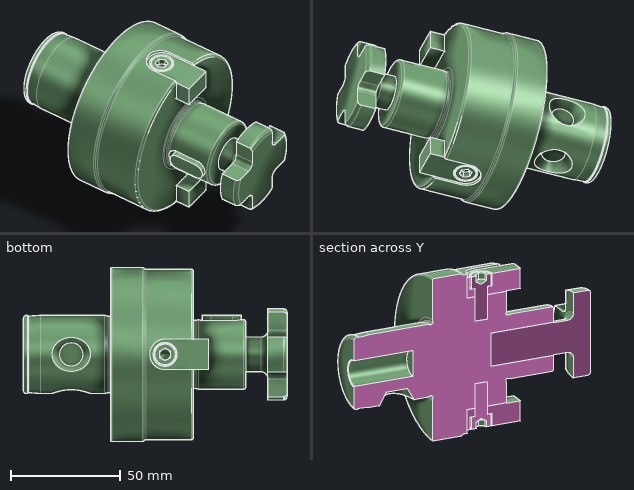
import cadquery as cq
import math


shank_radius = 18.0
shank_length = 40.0
nose_rounding = 1.5
nose_length = 2.0
nose_groove_radius = 17.6
nose_groove_start = 2.4
nose_groove_end = 2.7
nose_cone_end = 7.8
bore_radius = 6.2
bore_depth = 30.0
bore_chamfer = 0.3

recess_rotations = (0, -90)
recess_x = -18.0
recess_mouth_radius = 8.8
recess_half_angle = 30.0
recess_depth = 6.0
recess_margin = 2.0

flange_radius = 40.0
flange_land_end = 14.6
flange_rear_fillet = 0.6
blend_radius = 1.0
drum_radius = 39.15
drum_front = 38.0
drum_fillet = 1.0

pilot_radius = 16.0
pilot_length = 24.0
pilot_front = drum_front + pilot_length
pilot_fillet = 1.0

undercut_slope_angle = 15.0
shank_undercut_depth = 0.4
shank_undercut_width = 2.65
shank_undercut_fillet = 0.8
pilot_undercut_depth = 0.3
pilot_undercut_width = 2.3
pilot_undercut_fillet = 0.6
face_relief_depth = 0.25
face_relief_reach = 1.8

drive_rotations = (0, 180)
drive_key_width = 14.0
drive_key_round_x = 25.0
drive_key_front = 45.0
drive_key_base = 27.5
drive_key_height = 10.0
drive_key_top = drive_key_base + drive_key_height
head_radius = 5.0
head_height = 6.0
head_chamfer = 0.3
counterbore_radius = 5.5
screw_radius = 3.0
screw_length = 16.0
head_seat = drive_key_top - head_height
screw_tip = head_seat - screw_length
socket_width = 5.0
socket_depth = 3.0
socket_point_angle = 60.0

feather_width = 8.0
feather_rear = 42.0
feather_front = 60.0
feather_slot_rear = 40.0
feather_base = 11.0
feather_top = 18.0

bolt_radius = 8.0
bolt_thread_start = 30.0
bolt_head_radius = 21.0
bolt_head_rear = 72.0
bolt_head_thickness = 9.0
bolt_head_fillet = 1.8
bolt_neck_fillet = 3.0
lug_width = 16.0
lug_corner_fillet = 3.2


def revolve_about_x(profile):
    return profile.close().revolve(360, (0, 0, 0), (1, 0, 0))


def cylinder_along_x(radius, start, end):
    return cq.Workplane("YZ").workplane(offset=start).circle(radius).extrude(end - start)


def undercut(shoulder_x, direction, radius, width, depth, fillet):
    """Ring removed from the corner of a round stem and its shoulder face.

    direction points along X from the shoulder to the free end of the stem.
    """
    floor_radius = radius - depth
    slope_length = depth / math.tan(math.radians(undercut_slope_angle))
    wall_x = shoulder_x - direction * face_relief_depth
    arc_start_x = wall_x + direction * fillet
    arc_shift = fillet * (1 - math.sqrt(0.5))
    profile = (
        cq.Workplane("XY")
        .moveTo(shoulder_x + direction * width, radius)
        .lineTo(shoulder_x + direction * (width - slope_length), floor_radius)
        .lineTo(arc_start_x, floor_radius)
        .threePointArc(
            (wall_x + direction * arc_shift, floor_radius + arc_shift),
            (wall_x, floor_radius + fillet),
        )
        .lineTo(shoulder_x, radius + face_relief_reach)
        .lineTo(shoulder_x, radius)
    )
    return revolve_about_x(profile)


def shank_recess(rotation):
    """Cone that opens at the shank surface, first made at +Y, then turned about X."""
    slope = math.tan(math.radians(recess_half_angle))
    outer = shank_radius + recess_margin
    outer_radius = recess_mouth_radius + recess_margin * slope
    height = recess_margin + recess_depth
    cone = cq.Solid.makeCone(
        outer_radius,
        outer_radius - height * slope,
        height,
        cq.Vector(recess_x, outer, 0),
        cq.Vector(0, -1, 0),
    )
    return cq.Workplane(cone).rotate((0, 0, 0), (1, 0, 0), rotation)


def drive_key_block():
    """Key outline with one round end, standing on the key floor at +Z."""
    half_width = drive_key_width / 2
    return (
        cq.Workplane("XY")
        .workplane(offset=drive_key_base)
        .moveTo(drive_key_front, -half_width)
        .lineTo(drive_key_front, half_width)
        .lineTo(drive_key_round_x, half_width)
        .threePointArc((drive_key_round_x - half_width, 0), (drive_key_round_x, -half_width))
        .close()
        .extrude(drive_key_height)
    )


def drive_key_slot():
    """Key seat, carried on upward through the surface of the drum."""
    block = drive_key_block()
    return block.union(block.translate((0, 0, drive_key_height)))


def screw_cylinder(radius, bottom, top):
    return (
        cq.Workplane("XY")
        .workplane(offset=bottom)
        .center(drive_key_round_x, 0)
        .circle(radius)
        .extrude(top - bottom)
    )


def make_drive_key():
    shank_hole = screw_cylinder(screw_radius, drive_key_base, drive_key_top)
    counterbore = screw_cylinder(counterbore_radius, head_seat, drive_key_top)
    return drive_key_block().cut(shank_hole).cut(counterbore)


def make_drive_screw():
    head = screw_cylinder(head_radius, head_seat, drive_key_top).faces(">Z").edges().chamfer(head_chamfer)
    thread = screw_cylinder(screw_radius, screw_tip, head_seat)
    corner_distance = socket_width / math.sqrt(3)
    corner_angles = [math.radians(60 * i) for i in range(6)]
    corners = [(corner_distance * math.sin(a), corner_distance * math.cos(a)) for a in corner_angles]
    socket = (
        cq.Workplane("XY")
        .workplane(offset=drive_key_top - socket_depth)
        .center(drive_key_round_x, 0)
        .polyline(corners)
        .close()
        .extrude(socket_depth)
    )
    point_radius = socket_width / 2
    drill_point = cq.Solid.makeCone(
        point_radius,
        0,
        point_radius / math.tan(math.radians(socket_point_angle)),
        cq.Vector(drive_key_round_x, 0, drive_key_top - socket_depth),
        cq.Vector(0, 0, -1),
    )
    return head.union(thread).cut(socket).cut(cq.Workplane(drill_point))


def feather_block(rear):
    """Round-ended block on the -Y side, from the slot floor to the key top."""
    return (
        cq.Workplane("XZ")
        .workplane(offset=feather_base)
        .center((rear + feather_front) / 2, 0)
        .slot2D(feather_front - rear, feather_width)
        .extrude(feather_top - feather_base)
    )


def make_bolt():
    head_front = bolt_head_rear + bolt_head_thickness
    disc = cylinder_along_x(bolt_head_radius, bolt_head_rear, head_front)
    disc = disc.faces(">X").edges().fillet(bolt_head_fillet)
    bar_length = 2 * bolt_head_radius
    cross = (
        cq.Workplane("YZ")
        .workplane(offset=bolt_head_rear)
        .rect(bar_length, lug_width)
        .extrude(bolt_head_thickness)
        .union(
            cq.Workplane("YZ")
            .workplane(offset=bolt_head_rear)
            .rect(lug_width, bar_length)
            .extrude(bolt_head_thickness)
        )
    )
    inner_corner = lug_width / 2 + lug_corner_fillet
    inner_box = cq.selectors.BoxSelector(
        (bolt_head_rear, -inner_corner, -inner_corner), (head_front, inner_corner, inner_corner)
    )
    cross = cross.edges("|X").edges(inner_box).fillet(lug_corner_fillet)
    head = disc.intersect(cross)
    neck_start = bolt_head_rear - bolt_neck_fillet
    neck_arc_shift = bolt_neck_fillet * (1 - math.sqrt(0.5))
    stem = revolve_about_x(
        cq.Workplane("XY")
        .moveTo(bolt_thread_start, 0)
        .lineTo(bolt_thread_start, bolt_radius)
        .lineTo(neck_start, bolt_radius)
        .threePointArc(
            (bolt_head_rear - neck_arc_shift, bolt_radius + neck_arc_shift),
            (bolt_head_rear, bolt_radius + bolt_neck_fillet),
        )
        .lineTo(bolt_head_rear, 0)
    )
    return head.union(stem)


def make_nose_and_shank():
    rear = -shank_length
    arc_centre_radius = shank_radius - nose_rounding
    past_crest = nose_length - nose_rounding
    nose_end_radius = arc_centre_radius + math.sqrt(nose_rounding**2 - past_crest**2)
    return revolve_about_x(
        cq.Workplane("XY")
        .moveTo(rear, 0)
        .lineTo(rear, arc_centre_radius)
        .threePointArc((rear + nose_rounding, shank_radius), (rear + nose_length, nose_end_radius))
        .lineTo(rear + nose_groove_start, nose_groove_radius)
        .lineTo(rear + nose_groove_end, nose_groove_radius)
        .lineTo(rear + nose_cone_end, shank_radius)
        .lineTo(0, shank_radius)
        .lineTo(0, 0)
    )


def make_flange_and_drum():
    """Flange and drum, joined by a convex and a concave arc that meet tangentially halfway."""
    step = flange_radius - drum_radius
    arc_angle = math.acos(1 - step / (2 * blend_radius))
    arc_length = blend_radius * math.sin(arc_angle)
    middle_shift = blend_radius * math.sin(arc_angle / 2)
    middle_drop = blend_radius * (1 - math.cos(arc_angle / 2))
    blend_middle = flange_land_end + arc_length
    blend_end = blend_middle + arc_length
    body = revolve_about_x(
        cq.Workplane("XY")
        .lineTo(0, flange_radius)
        .lineTo(flange_land_end, flange_radius)
        .threePointArc(
            (flange_land_end + middle_shift, flange_radius - middle_drop),
            (blend_middle, flange_radius - step / 2),
        )
        .threePointArc((blend_end - middle_shift, drum_radius + middle_drop), (blend_end, drum_radius))
        .lineTo(drum_front, drum_radius)
        .lineTo(drum_front, 0)
    )
    body = body.faces("<X").edges().fillet(flange_rear_fillet)
    return body.faces(">X").edges().fillet(drum_fillet)


def make_arbor():
    pilot = cylinder_along_x(pilot_radius, drum_front, pilot_front)
    pilot = pilot.faces(">X").edges().fillet(pilot_fillet)
    body = make_nose_and_shank().union(make_flange_and_drum()).union(pilot)

    shank_undercut = undercut(
        0, -1, shank_radius, shank_undercut_width, shank_undercut_depth, shank_undercut_fillet
    )
    pilot_undercut = undercut(
        drum_front, 1, pilot_radius, pilot_undercut_width, pilot_undercut_depth, pilot_undercut_fillet
    )
    body = body.cut(shank_undercut).cut(pilot_undercut)

    for rotation in recess_rotations:
        body = body.cut(shank_recess(rotation))

    bore = cylinder_along_x(bore_radius, -shank_length, -shank_length + bore_depth)
    bore_mouth = cq.Solid.makeCone(
        bore_radius + bore_chamfer,
        bore_radius,
        bore_chamfer,
        cq.Vector(-shank_length, 0, 0),
        cq.Vector(1, 0, 0),
    )
    body = body.cut(bore).cut(cq.Workplane(bore_mouth))
    body = body.cut(cylinder_along_x(bolt_radius, bolt_thread_start, pilot_front))
    body = body.cut(feather_block(feather_slot_rear))

    seat = drive_key_slot().union(screw_cylinder(screw_radius, screw_tip, drive_key_base))
    for rotation in drive_rotations:
        body = body.cut(seat.rotate((0, 0, 0), (1, 0, 0), rotation))
    return body


arbor = make_arbor()
feather_key = feather_block(feather_rear)
clamping_bolt = make_bolt()
drive_keys = [make_drive_key().rotate((0, 0, 0), (1, 0, 0), angle) for angle in drive_rotations]
drive_screws = [make_drive_screw().rotate((0, 0, 0), (1, 0, 0), angle) for angle in drive_rotations]

result = cq.Compound.makeCompound(
    [arbor.val(), feather_key.val(), clamping_bolt.val()]
    + [key.val() for key in drive_keys]
    + [screw.val() for screw in drive_screws]
)